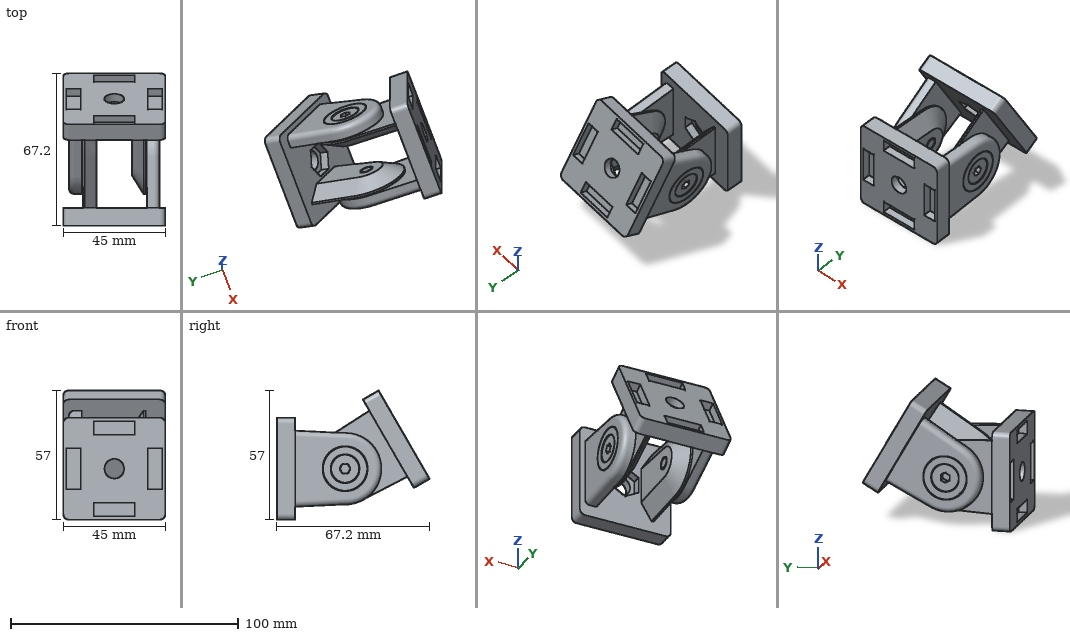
import cadquery as cq
import math

overall_length = 67.2
tilt_angle = 30.0

plate_width = 45.0
plate_thickness = 8.0
plate_corner_radius = 2.5
tilt = math.radians(tilt_angle)
pivot_reach = (overall_length - plate_width / 2 * math.sin(tilt)) / (1 + math.cos(tilt))
plate_back_y = plate_thickness - pivot_reach

slot_length = 18.0
slot_depth = 4.0
side_slot_width = 6.25
side_slot_margin = 1.4
end_slot_width = 6.0
end_slot_margin = 1.6
bolt_hole_diameter = 8.7
bolt_hex_flats = 13.0
bolt_hex_depth = 4.0

arm_flare_angle = 2.7
arm_tip_radius = 15.7
arm_tip_center_y = 0.3
outer_arm_outside = 20.0
outer_arm_inside = 14.3
outer_arm_fillet = 2.5
inner_arm_outside = 13.85
inner_arm_inside = 7.7
inner_arm_rim = 0.95
inner_arm_bevel = 8.3

hexagon_turn = 30

bush_bore_radius = 9.95
bush_radius = 9.7
washer_radius = 13.0
sleeve_radius = 2.95
shank_radius = 2.35
head_radius = 6.1
head_height = 4.1
counterbore_chamfer = 0.3
head_face_x = counterbore_chamfer - outer_arm_outside
head_seat_x = head_face_x + head_height
socket_flats = 4.05
socket_depth = 3.7


def hexagon_diameter(across_flats):
    return across_flats / math.cos(math.pi / 6)


def x_cylinder(radius, x_start, x_end):
    return cq.Workplane("YZ", origin=(x_start, 0, 0)).circle(radius).extrude(x_end - x_start)


def make_arm_blank(x_start, x_end):
    """Arm with a round tip around the pivot axis, flaring to a root half sunk into the plate."""
    flare = math.radians(arm_flare_angle)
    root_y = plate_back_y - plate_thickness / 2
    tangent_y = arm_tip_center_y + arm_tip_radius * math.sin(flare)
    tangent_z = arm_tip_radius * math.cos(flare)
    root_z = tangent_z + (tangent_y - root_y) * math.tan(flare)
    return (
        cq.Workplane("YZ", origin=(x_start, 0, 0))
        .moveTo(root_y, -root_z)
        .lineTo(tangent_y, -tangent_z)
        .threePointArc((arm_tip_center_y + arm_tip_radius, 0), (tangent_y, tangent_z))
        .lineTo(root_y, root_z)
        .close()
        .extrude(x_end - x_start)
    )


def make_plate():
    plate = (
        cq.Workplane("XZ", origin=(0, plate_back_y, 0))
        .rect(plate_width, plate_width)
        .extrude(plate_thickness)
        .edges("|Y")
        .fillet(plate_corner_radius)
    )
    side_slot_x = (plate_width - side_slot_width) / 2 - side_slot_margin
    end_slot_z = (plate_width - end_slot_width) / 2 - end_slot_margin
    slot_floor = cq.Workplane("XZ", origin=(0, slot_depth - pivot_reach, 0))
    for side in (-1, 1):
        side_slot = slot_floor.center(side * side_slot_x, 0).rect(side_slot_width, slot_length)
        plate = plate.cut(side_slot.extrude(slot_depth))
        end_slot = slot_floor.center(0, side * end_slot_z).rect(slot_length, end_slot_width)
        plate = plate.cut(end_slot.extrude(slot_depth))
    return plate


def make_outer_arm():
    arm = make_arm_blank(outer_arm_inside, outer_arm_outside)
    arm = arm.faces(">X").edges("not <Y").fillet(outer_arm_fillet)
    return arm.cut(x_cylinder(bush_bore_radius, outer_arm_inside, outer_arm_outside))


def make_inner_arm():
    arm = make_arm_blank(-inner_arm_outside, -inner_arm_inside)
    bevel_length = inner_arm_outside - inner_arm_inside - inner_arm_rim
    arm = arm.faces(">X").edges("not <Y").chamfer(bevel_length, inner_arm_bevel)
    return arm.cut(x_cylinder(sleeve_radius, -inner_arm_outside, -inner_arm_inside))


def make_bracket():
    bracket = make_plate().union(make_outer_arm()).union(make_inner_arm())
    back_plane = cq.Workplane("XZ", origin=(0, plate_back_y, 0))
    bolt_hole = back_plane.circle(bolt_hole_diameter / 2).extrude(plate_thickness)
    bolt_hex = (
        back_plane.transformed(rotate=(0, 0, hexagon_turn))
        .polygon(6, hexagon_diameter(bolt_hex_flats))
        .extrude(bolt_hex_depth)
    )
    return bracket.cut(bolt_hole).cut(bolt_hex)


def make_bush():
    """Bush turning in the outer arm's bore, with a sleeve that runs through the washer and inner arm."""
    bush = x_cylinder(bush_radius, -outer_arm_outside, -outer_arm_inside)
    bush = bush.union(x_cylinder(sleeve_radius, -outer_arm_inside, -inner_arm_inside))
    bush = bush.cut(x_cylinder(head_radius, -outer_arm_outside, head_seat_x))
    bush = bush.cut(x_cylinder(shank_radius, head_seat_x, -inner_arm_inside))
    counterbore_mouth = cq.selectors.RadiusNthSelector(0)
    return bush.faces("<X").edges(counterbore_mouth).chamfer(counterbore_chamfer)


def make_washer():
    washer = x_cylinder(washer_radius, -outer_arm_inside, -inner_arm_outside)
    return washer.cut(x_cylinder(sleeve_radius, -outer_arm_inside, -inner_arm_outside))


def make_screw():
    """Socket head screw, sunk below the mouth of the bush and ending flush with the inner arm."""
    head = x_cylinder(head_radius, head_face_x, head_seat_x)
    shank = x_cylinder(shank_radius, head_seat_x, -inner_arm_inside)
    socket = (
        cq.Workplane("YZ", origin=(head_face_x, 0, 0))
        .transformed(rotate=(0, 0, hexagon_turn))
        .polygon(6, hexagon_diameter(socket_flats))
        .extrude(socket_depth)
    )
    return head.union(shank).cut(socket)


def face_and_tilt(body):
    """Turn a body to the opposite side of the hinge and tilt it about the pivot axis."""
    turned = body.rotate((0, 0, 0), (0, 0, 1), 180)
    return turned.rotate((0, 0, 0), (1, 0, 0), tilt_angle)


hinge_half = [make_bracket(), make_bush(), make_washer(), make_screw()]
bodies = []
for part in hinge_half:
    bodies.append(part.solids().val())
    bodies.append(face_and_tilt(part).solids().val())

result = cq.Compound.makeCompound(bodies)